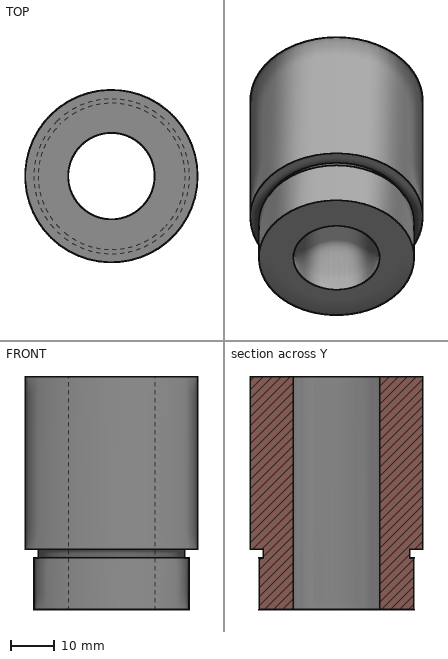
import cadquery as cq

total_height = 54.0
body_diameter = 40.0
spigot_diameter = 36.0
groove_diameter = 34.0
bore_diameter = 20.0
spigot_height = 12.0
groove_width = 2.0

body_height = total_height - spigot_height - groove_width


def stack_cylinder(part, diameter, height):
    """Add a coaxial cylinder on top of the part."""
    return part.faces(">Z").workplane().circle(diameter / 2).extrude(height)


sleeve = cq.Workplane("XY").circle(spigot_diameter / 2).extrude(spigot_height)
sleeve = stack_cylinder(sleeve, groove_diameter, groove_width)
sleeve = stack_cylinder(sleeve, body_diameter, body_height)

result = sleeve.faces(">Z").workplane().circle(bore_diameter / 2).cutThruAll()